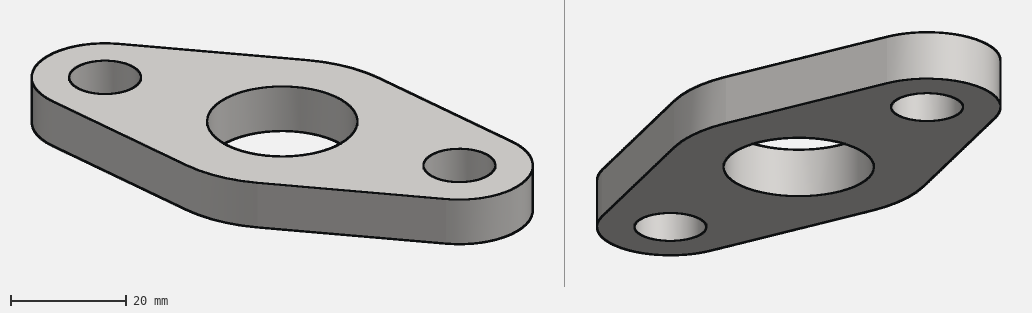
import cadquery as cq
import math

length = 95.2
width = 46.6
thickness = 8.8
bolt_spacing = 69.7
bolt_hole_diameter = 12.5
bore_diameter = 26.1

bolt_x = bolt_spacing / 2
end_radius = length / 2 - bolt_x
middle_radius = width / 2

edge_angle = math.asin((middle_radius - end_radius) / bolt_x)
middle_tangent_x = middle_radius * math.sin(edge_angle)
middle_tangent_y = middle_radius * math.cos(edge_angle)
end_tangent_x = bolt_x + end_radius * math.sin(edge_angle)
end_tangent_y = end_radius * math.cos(edge_angle)


def flange_plate():
    """Plate with a diamond outline and rounded corners, centred on the origin."""
    return (
        cq.Workplane("XY")
        .workplane(offset=-thickness / 2)
        .moveTo(-middle_tangent_x, middle_tangent_y)
        .threePointArc((0, middle_radius), (middle_tangent_x, middle_tangent_y))
        .lineTo(end_tangent_x, end_tangent_y)
        .threePointArc((length / 2, 0), (end_tangent_x, -end_tangent_y))
        .lineTo(middle_tangent_x, -middle_tangent_y)
        .threePointArc((0, -middle_radius), (-middle_tangent_x, -middle_tangent_y))
        .lineTo(-end_tangent_x, -end_tangent_y)
        .threePointArc((-length / 2, 0), (-end_tangent_x, end_tangent_y))
        .close()
        .extrude(thickness)
    )


def add_holes(plate):
    """Cut the central bore and the two bolt holes through the plate."""
    bored = plate.faces(">Z").workplane(origin=(0, 0, 0)).hole(bore_diameter)
    bolt_points = [(-bolt_x, 0), (bolt_x, 0)]
    return (
        bored.faces(">Z")
        .workplane(origin=(0, 0, 0))
        .pushPoints(bolt_points)
        .hole(bolt_hole_diameter)
    )


result = add_holes(flange_plate())